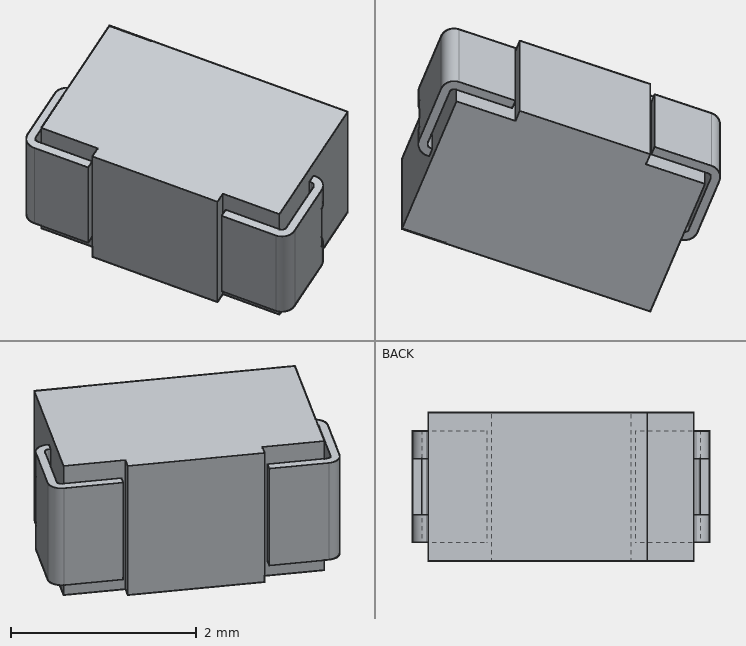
import cadquery as cq

overall_width = 3.2
overall_depth = 1.8
case_height = 1.6

case_width = 2.858
foot_width = 1.5
foot_depth = 0.13

strip_width = 0.5
strip_thickness = 0.01

sheet_thickness = 0.1
outer_bend_radius = 0.15
inner_bend_radius = outer_bend_radius - sheet_thickness
terminal_height = 1.2
terminal_depth = 0.963
pad_length = 0.8
notch_height = 0.6

case_side = case_width / 2
terminal_side = overall_width / 2


def centered_block(width, depth, height, center_x, front_y):
    """Block centred on center_x and Z = 0, reaching back from front_y."""
    return cq.Workplane("XY").box(width, depth, height).translate((center_x, front_y + depth / 2, 0))


def make_strip():
    center_x = -case_side + strip_width / 2
    front_y = overall_depth - strip_thickness
    return centered_block(strip_width, strip_thickness, case_height, center_x, front_y)


def make_case(strip):
    main_block = centered_block(case_width, overall_depth - foot_depth, case_height, 0, foot_depth)
    foot = centered_block(foot_width, foot_depth, case_height, 0, 0)
    return main_block.union(foot).cut(strip)


def make_left_terminal():
    """Sheet bent from the pad, up the side and in to the case, its top bend split by a notch."""
    inner_side = sheet_thickness - terminal_side
    pad_end = pad_length - terminal_side
    leg_width = terminal_side - case_side

    outline = (
        centered_block(pad_length, terminal_depth, terminal_height, pad_length / 2 - terminal_side, 0)
        .edges("|Z and <X")
        .fillet(outer_bend_radius)
    )
    space_depth = terminal_depth - 2 * sheet_thickness
    space_width = pad_end - inner_side
    inner_space = (
        centered_block(space_width, space_depth, terminal_height, inner_side + space_width / 2, sheet_thickness)
        .edges("|Z and <X")
        .fillet(inner_bend_radius)
    )
    beyond_case_side = centered_block(
        pad_length - leg_width,
        terminal_depth - sheet_thickness,
        terminal_height,
        (pad_end - case_side) / 2,
        sheet_thickness,
    )
    notch = centered_block(
        pad_length,
        outer_bend_radius,
        notch_height,
        pad_length / 2 - terminal_side,
        terminal_depth - outer_bend_radius,
    )
    return outline.cut(inner_space).cut(beyond_case_side).cut(notch)


polarity_strip = make_strip()
case = make_case(polarity_strip)

left_terminal = make_left_terminal()
terminals = []
for terminal in (left_terminal, left_terminal.mirror("YZ")):
    terminals.append(terminal.solids().val())

result = cq.Compound.makeCompound([case.solids().val(), polarity_strip.val(), *terminals])